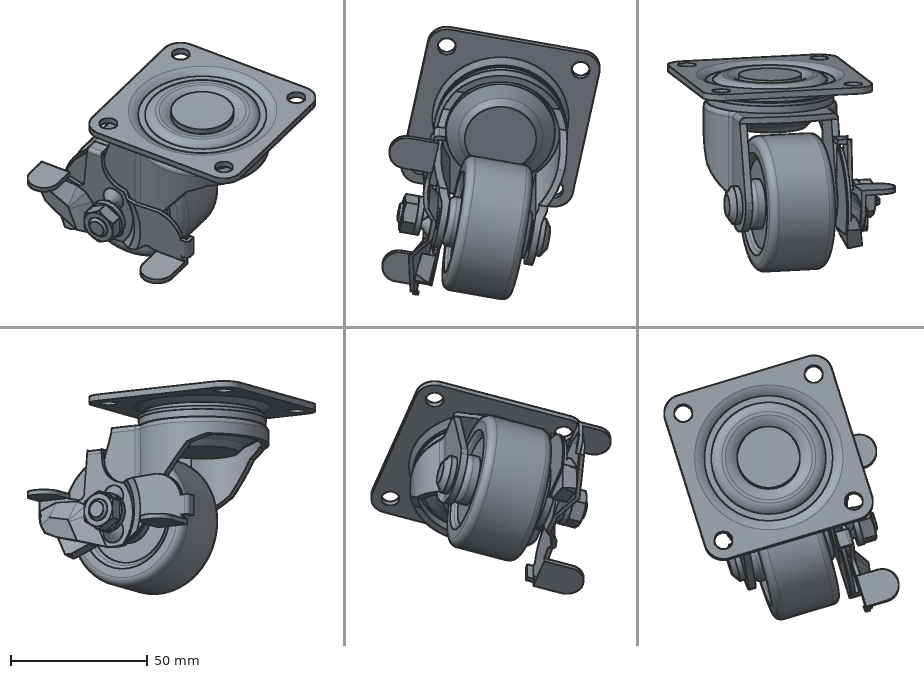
import cadquery as cq
import math


plate_side = 64.0
plate_thickness = 2.35
plate_corner_radius = 7.0
mount_hole_pitch = 50.0
mount_hole_diameter = 6.6
dish_outer_radius = 27.2
dish_floor_outer_radius = 23.5
dish_floor_inner_radius = 21.0
dish_depth = 1.9
crest_outer_radius = 17.1
crest_inner_radius = 15.9
kingpin_radius = 11.5
groove_depth = 2.2
dish_slope_point = (25.6, -0.5)
crest_slope_point = (19.3, -0.5)
groove_slope_point = (14.0, -0.55)
dish_underside_z = -(plate_thickness + dish_depth)
dish_underside_radius = 21.7
dish_underside_start_radius = 25.0

neck_radius = 21.3
race_top_z = -6.0
race_seam_z = -7.2
race_radius = 23.55
race_seam_step = 0.25
fork_top_z = -9.9
cap_thickness = 2.3
cap_underside_z = fork_top_z - cap_thickness
skirt_radius = 24.4
fork_wall = 2.6
fork_edge_radius = 2.0
leg_inner_y = 16.0
leg_outer_y = leg_inner_y + fork_wall
fork_front_x = -30.0
leg_front_top_x = -27.8
leg_bend_radius = 5.0
skirt_bottom_z = -16.3
skirt_slope_start_x = 14.5
skirt_slope_end = (-1.9, -31.9)
skirt_step = (8.0, -19.2)
cup_rim_radius = 20.0
cup_rim_z = -14.4
cup_radius = 15.5
cup_bottom_z = -19.2
cup_edge_size = 2.4

wheel_radius = 25.0
wheel_width = 24.9
wheel_edge_radius = 2.9
axle_x = -25.0
axle_z = -43.0
face_recess_radius = 18.9
face_recess_step_radius = 17.5
face_recess_floor_radius = 16.4
face_recess_depth = 2.0
hub_radius = 9.2
hub_end_y = 15.3
hub_edge_radius = 2.0
hub_spacer_radius = 5.6
leg_half_width = 11.3
leg_front_x = axle_x - leg_half_width
leg_shoulder_z = -40.0
leg_bottom_z = -52.8

axle_radius = 4.0
axle_tip_radius = 3.0
axle_tip_y = -33.1
bolt_head_radius = 7.0
bolt_head_top_radius = 4.0
bolt_head_rim_y = 20.7
bolt_head_top_y = 22.8
nut_flange_radius = 7.1
nut_across_flats = 12.3
nut_flange_start_y = -24.7
nut_start_y = -26.8
nut_end_y = -31.9
nut_corner_bevel = 0.5
hexagon_half_angle = 30.0

sheet = 1.6
lever_inner_y = -19.9
lever_outer_y = lever_inner_y - sheet
wing_outer_y = -26.5
wing_inner_y = wing_outer_y + sheet
jog_center_x = -35.0
jog_inner_radius = 18.4
jog_knee_radius = 21.5
jog_knee_height = 3.8
jog_outer_radius = 24.8
jog_split_x = -21.7
lever_reach = 60.0
tab_left_x = -36.3
tab_right_x = -30.3
tab_top_z = -18.2
tab_thickness = 1.8
cone_radius = 4.3
cone_offset = 6.4
cone_angle = 45.0
pedal_thickness = 1.8
pedal_bend_radius = 1.5
left_pedal_x = (-56.99, -44.9)
left_pedal_top_z = -33.4
left_pedal_end_y = -34.0
right_pedal_x = (-3.3, 9.2)
right_pedal_top_z = -48.8
right_pedal_end_y = -42.0
lug_end_x = 10.4
lug_root_x = 6.0
lug_flange_y = -22.5
lug_z = (-47.0, -39.6)
panel_slope = -0.234
crown_y = -25.9
crown_x = -41.8
panel_base = [
    (-56.9, -39.0),
    (-49.8, -36.4),
    (-40.8, -36.8),
    (-37.0, -38.4),
    (-34.2, -41.7),
    (-28.0, -54.9),
    (-48.4, -49.65),
    (-53.6, -47.6),
]
panel_crown = [
    (-55.6, -44.4),
    (-51.5, -42.0),
    (-42.0, -44.1),
    (-41.7, -44.4),
    (-41.5, -44.9),
    (-37.3, -52.5),
    (-48.4, -49.65),
    (-53.6, -47.6),
]

shoe_flange_y = -16.2
shoe_plate_y = -16.8
shoe_face_y = -18.2
shoe_rear_x = -33.5
shoe_flange_setback = 0.4
shoe_plate_setback = 1.2
shoe_rim_angles = (200, 155, 115)
tongue_side = [(-48.5, -45.0), (-48.8, -49.7), (-44.3, -57.3), (-34.9, -53.5), (-36.3, -45.0)]
tongue_section = [
    (shoe_flange_y, -45.0),
    (shoe_flange_y, -48.5),
    (-18.0, -57.4),
    (-23.3, -56.4),
    (-21.4, -48.0),
    (lever_inner_y, -45.0),
]


def ring_about_axle(profile):
    """Revolve a (radius, y) profile about the axle line."""
    sketch = cq.Workplane("XY").polyline(profile).close()
    return sketch.revolve(360, (0, 0, 0), (0, 1, 0)).translate((axle_x, 0, axle_z))


def prism_along_y(outline, y_from, y_to):
    """Extrude an (x, z) outline between two y levels."""
    depth = abs(y_to - y_from)
    return outline.extrude(depth).translate((0, max(y_from, y_to), 0))


def axle_circle():
    return cq.Workplane("XZ").center(axle_x, axle_z).circle(axle_radius)


def block(x_range, y_range, z_range):
    size = [max(r) - min(r) for r in (x_range, y_range, z_range)]
    corner = [min(r) for r in (x_range, y_range, z_range)]
    return cq.Workplane("XY").box(*size, centered=False).translate(tuple(corner))


def make_plate():
    body = cq.Workplane("XY").rect(plate_side, plate_side).extrude(-plate_thickness)
    body = body.edges("|Z").fillet(plate_corner_radius)
    dish_underside = (
        cq.Workplane("XZ")
        .moveTo(0, -plate_thickness)
        .lineTo(dish_underside_start_radius, -plate_thickness)
        .lineTo(dish_underside_radius, dish_underside_z)
        .lineTo(0, dish_underside_z)
        .close()
        .revolve(360, (0, 0, 0), (0, 1, 0))
    )
    dish = (
        cq.Workplane("XZ")
        .moveTo(dish_outer_radius, 0)
        .threePointArc(dish_slope_point, (dish_floor_outer_radius, -dish_depth))
        .lineTo(dish_floor_inner_radius, -dish_depth)
        .threePointArc(crest_slope_point, (crest_outer_radius, 0))
        .close()
        .revolve(360, (0, 0, 0), (0, 1, 0))
    )
    groove = (
        cq.Workplane("XZ")
        .moveTo(crest_inner_radius, 0)
        .threePointArc(groove_slope_point, (kingpin_radius, -groove_depth))
        .lineTo(kingpin_radius, 0)
        .close()
        .revolve(360, (0, 0, 0), (0, 1, 0))
    )
    holes = (
        cq.Workplane("XY")
        .rect(mount_hole_pitch, mount_hole_pitch, forConstruction=True)
        .vertices()
        .circle(mount_hole_diameter / 2)
        .extrude(-plate_thickness)
    )
    return body.union(dish_underside).cut(dish).cut(groove).cut(holes)


def fork_head(round_radius, half_width, top_z):
    """Solid under the fork cap: a round skirt and a straight-sided, bow-fronted front end."""
    height = top_z - leg_bottom_z
    level = cq.Workplane("XY").workplane(offset=leg_bottom_z)
    front = (
        level.moveTo(0, -half_width)
        .lineTo(leg_front_top_x, -half_width)
        .threePointArc((fork_front_x, 0), (leg_front_top_x, half_width))
        .lineTo(0, half_width)
        .close()
        .extrude(height)
    )
    return level.circle(round_radius).extrude(height).union(front)


def leg_block(half_width, top_z):
    return block((leg_front_x, leg_front_top_x), (-half_width, half_width), (leg_bottom_z, top_z))


def make_fork():
    outer = fork_head(skirt_radius, leg_outer_y, fork_top_z)
    bend_x = -math.sqrt(skirt_radius**2 - leg_outer_y**2)
    bend_zone = cq.selectors.BoxSelector(
        (bend_x - 1, -skirt_radius, leg_bottom_z), (bend_x + 1, skirt_radius, fork_top_z)
    )
    outer = outer.edges("|Z").edges(bend_zone).fillet(leg_bend_radius)
    outer = outer.faces(">Z").edges("not(<X)").fillet(fork_edge_radius)
    outer = outer.union(leg_block(leg_outer_y, cap_underside_z))
    inner = fork_head(skirt_radius - fork_wall, leg_inner_y, cap_underside_z)
    inner = inner.union(leg_block(leg_inner_y, cap_underside_z))
    side_outline = (
        cq.Workplane("XZ")
        .moveTo(fork_front_x, fork_top_z)
        .lineTo(fork_front_x, cap_underside_z)
        .lineTo(leg_front_top_x, cap_underside_z)
        .lineTo(leg_front_x, leg_shoulder_z)
        .threePointArc((axle_x, leg_bottom_z), (axle_x + leg_half_width, leg_shoulder_z))
        .lineTo(*skirt_slope_end)
        .lineTo(*skirt_step)
        .lineTo(skirt_slope_start_x, skirt_bottom_z)
        .lineTo(skirt_radius, skirt_bottom_z)
        .lineTo(skirt_radius, fork_top_z)
        .close()
    )
    body = outer.cut(inner).intersect(prism_along_y(side_outline, -skirt_radius, skirt_radius))
    lower_race_radius = race_radius - race_seam_step
    swivel_profile = [
        (0, dish_underside_z),
        (neck_radius, dish_underside_z),
        (neck_radius, race_top_z),
        (race_radius, race_top_z),
        (race_radius, race_seam_z),
        (lower_race_radius, race_seam_z),
        (lower_race_radius, fork_top_z),
        (cup_rim_radius, cap_underside_z),
        (cup_rim_radius, cup_rim_z),
        (cup_radius, cup_bottom_z + cup_edge_size),
        (cup_radius - cup_edge_size, cup_bottom_z),
        (0, cup_bottom_z),
    ]
    swivel = cq.Workplane("XZ").polyline(swivel_profile).close().revolve(360, (0, 0, 0), (0, 1, 0))
    bore = ring_about_axle(
        [(0, -leg_outer_y), (axle_radius, -leg_outer_y), (axle_radius, leg_outer_y), (0, leg_outer_y)]
    )
    return body.union(swivel).cut(bore)


def make_wheel():
    half_width = wheel_width / 2
    tread = cq.Workplane("XZ", origin=(0, half_width, 0)).circle(wheel_radius).extrude(wheel_width)
    tread = tread.edges("%CIRCLE").fillet(wheel_edge_radius)
    hub = cq.Workplane("XZ").circle(hub_radius).extrude(hub_end_y, both=True)
    hub = hub.edges("%CIRCLE").fillet(hub_edge_radius)
    spacer = cq.Workplane("XZ").circle(hub_spacer_radius).extrude(leg_inner_y, both=True)
    body = tread.translate((axle_x, 0, axle_z))
    for side in (-1, 1):
        body = body.cut(
            ring_about_axle(
                [
                    (0, side * half_width),
                    (face_recess_radius, side * half_width),
                    (face_recess_step_radius, side * (half_width - face_recess_depth / 2)),
                    (face_recess_floor_radius, side * (half_width - face_recess_depth)),
                    (0, side * (half_width - face_recess_depth)),
                ]
            )
        )
    body = body.union(hub.union(spacer).translate((axle_x, 0, axle_z)))
    return body.cut(prism_along_y(axle_circle(), leg_inner_y, -leg_inner_y))


def make_axle_bolt():
    tip_length = axle_radius - axle_tip_radius
    return ring_about_axle(
        [
            (0, axle_tip_y),
            (axle_tip_radius, axle_tip_y),
            (axle_radius, axle_tip_y + tip_length),
            (axle_radius, leg_outer_y),
            (bolt_head_radius, leg_outer_y),
            (bolt_head_radius, bolt_head_rim_y),
            (bolt_head_top_radius, bolt_head_top_y),
            (0, bolt_head_top_y),
        ]
    )


def make_nut():
    corner_diameter = nut_across_flats / math.cos(math.radians(hexagon_half_angle))
    corner_radius = corner_diameter / 2
    hexagon = (
        cq.Workplane("XZ")
        .polygon(6, corner_diameter)
        .extrude(nut_start_y - nut_end_y)
        .rotate((0, 0, 0), (0, 1, 0), hexagon_half_angle)
        .translate((axle_x, nut_start_y, axle_z))
    )
    bevel_envelope = ring_about_axle(
        [
            (0, nut_start_y),
            (corner_radius, nut_start_y),
            (corner_radius, nut_end_y + nut_corner_bevel),
            (corner_radius - 2 * nut_corner_bevel, nut_end_y),
            (0, nut_end_y),
        ]
    )
    flange = ring_about_axle(
        [
            (0, nut_flange_start_y),
            (nut_flange_radius, nut_flange_start_y),
            (nut_flange_radius, nut_start_y),
            (0, nut_start_y),
        ]
    )
    thread = prism_along_y(axle_circle(), nut_flange_start_y, nut_end_y)
    return hexagon.intersect(bevel_envelope).union(flange).cut(thread)


def lever_outline():
    """Flat outline of the pressed lever in the XZ plane."""
    return (
        cq.Workplane("XZ")
        .moveTo(tab_left_x, tab_top_z)
        .lineTo(-37.6, -34.0)
        .threePointArc((-38.3, -35.7), (-40.0, -36.4))
        .lineTo(left_pedal_x[1], left_pedal_top_z - pedal_thickness)
        .lineTo(left_pedal_x[1], left_pedal_top_z)
        .lineTo(left_pedal_x[0], left_pedal_top_z)
        .lineTo(left_pedal_x[0], -41.3)
        .tangentArcPoint((-53.6, -47.6), relative=False)
        .lineTo(-48.4, -49.65)
        .lineTo(-28.0, -54.9)
        .threePointArc((-19.5, -54.5), (-11.2, -51.0))
        .lineTo(-8.4, -48.4)
        .threePointArc((-7.4, -48.0), (-6.4, -48.2))
        .lineTo(right_pedal_x[0], right_pedal_top_z)
        .lineTo(right_pedal_x[0], right_pedal_top_z - pedal_thickness)
        .lineTo(right_pedal_x[1], right_pedal_top_z - pedal_thickness)
        .lineTo(right_pedal_x[1], right_pedal_top_z)
        .lineTo(7.4, lug_z[0])
        .lineTo(7.1, -39.0)
        .threePointArc((3.3, -33.4), (-3.0, -30.8))
        .lineTo(-18.0, -31.5)
        .threePointArc((-26.5, -29.2), (-29.7, -23.9))
        .lineTo(tab_right_x, tab_top_z)
        .close()
    )


def pedal(x_range, root_y, end_y, top_z):
    """Flat foot tab with a round end, sticking out towards -Y."""
    radius = (x_range[1] - x_range[0]) / 2
    center_x = (x_range[0] + x_range[1]) / 2
    return (
        cq.Workplane("XY")
        .workplane(offset=top_z - pedal_thickness)
        .moveTo(x_range[0], root_y)
        .lineTo(x_range[0], end_y + radius)
        .threePointArc((center_x, end_y), (x_range[1], end_y + radius))
        .lineTo(x_range[1], root_y)
        .close()
        .extrude(pedal_thickness)
    )


def raised_panel():
    """Pressed-out, tilted panel at the lower left of the lever."""
    base_points = [cq.Vector(x, lever_outer_y, z) for x, z in panel_base]
    crown_points = [
        cq.Vector(x, crown_y + panel_slope * (x - crown_x), z) for x, z in panel_crown
    ]
    wires = [cq.Wire.makePolygon(points, close=True) for points in (base_points, crown_points)]
    return cq.Workplane(obj=cq.Solid.makeLoft(wires, True))


def make_lever():
    outline = prism_along_y(lever_outline(), lever_inner_y, wing_outer_y)
    flat_left = block((-lever_reach, jog_split_x), (lever_inner_y, lever_outer_y), (-lever_reach, 0))
    joggled = (
        cq.Workplane("XY")
        .polyline(
            [
                (0, lever_inner_y),
                (jog_inner_radius, lever_inner_y),
                (jog_knee_radius, lever_inner_y - jog_knee_height),
                (jog_outer_radius, wing_inner_y),
                (lever_reach, wing_inner_y),
                (lever_reach, wing_outer_y),
                (jog_outer_radius, wing_outer_y),
                (jog_knee_radius, lever_outer_y - jog_knee_height),
                (jog_inner_radius, lever_outer_y),
                (0, lever_outer_y),
            ]
        )
        .close()
        .revolve(360, (0, 0, 0), (0, 1, 0))
        .translate((jog_center_x, 0, axle_z))
        .intersect(block((jog_split_x, lever_reach), (0, 2 * wing_outer_y), (-2 * lever_reach, lever_reach)))
    )
    body = outline.intersect(flat_left.union(joggled))
    panel = raised_panel()
    body = body.union(panel).cut(panel.translate((0, sheet, 0)))
    tab_x = (tab_left_x, tab_right_x)
    tab_z = (tab_top_z - tab_thickness, tab_top_z)
    body = body.cut(block(tab_x, (lever_inner_y, lever_outer_y), tab_z))
    top_tab = block(tab_x, (shoe_flange_y, lever_outer_y), tab_z)
    top_tab = top_tab.edges("|X and <Y and >Z").fillet(pedal_bend_radius)
    cones = (
        cq.Workplane("XZ", origin=(axle_x, lever_outer_y, axle_z))
        .pushPoints([(0, cone_offset), (0, -cone_offset)])
        .circle(cone_radius)
        .extrude(lever_outer_y - nut_flange_start_y, taper=cone_angle)
    )
    lug = block((lug_root_x, lug_end_x), (wing_inner_y, wing_outer_y), lug_z)
    lug = lug.union(block((lug_end_x - sheet, lug_end_x), (lug_flange_y, wing_outer_y), lug_z))
    lug = lug.edges("|Z and >X and <Y").fillet(pedal_bend_radius)
    left_pedal = pedal(left_pedal_x, lever_inner_y, left_pedal_end_y, left_pedal_top_z)
    right_pedal = pedal(right_pedal_x, wing_inner_y, right_pedal_end_y, right_pedal_top_z)
    for feature in (top_tab, cones, lug, left_pedal, right_pedal):
        body = body.union(feature)
    return body.cut(prism_along_y(axle_circle(), lever_inner_y, nut_end_y))


def shoe_outline(setback):
    """Side outline of the brake shoe, following the wheel rim at the front."""
    radius = wheel_radius - setback
    angles = [math.radians(angle) for angle in shoe_rim_angles]
    rim = [(axle_x + radius * math.cos(a), axle_z + radius * math.sin(a)) for a in angles]
    return (
        cq.Workplane("XZ")
        .moveTo(*rim[0])
        .threePointArc(rim[1], rim[2])
        .lineTo(shoe_rear_x, rim[0][1])
        .close()
    )


def make_shoe(fork, lever):
    flange = prism_along_y(shoe_outline(shoe_flange_setback), shoe_flange_y, shoe_plate_y)
    plate = prism_along_y(shoe_outline(shoe_plate_setback), shoe_plate_y, shoe_face_y)
    tongue = (
        cq.Workplane("YZ")
        .polyline(tongue_section)
        .close()
        .extrude(-lever_reach)
        .intersect(prism_along_y(cq.Workplane("XZ").polyline(tongue_side).close(), 0, -lever_reach))
    )
    return flange.union(plate).union(tongue).cut(fork).cut(lever)


plate = make_plate()
fork = make_fork()
wheel = make_wheel()
axle_bolt = make_axle_bolt()
nut = make_nut()
lever = make_lever()
brake_shoe = make_shoe(fork, lever)

result = cq.Compound.makeCompound(
    [body.solids().val() for body in (plate, fork, wheel, axle_bolt, nut, lever, brake_shoe)]
)